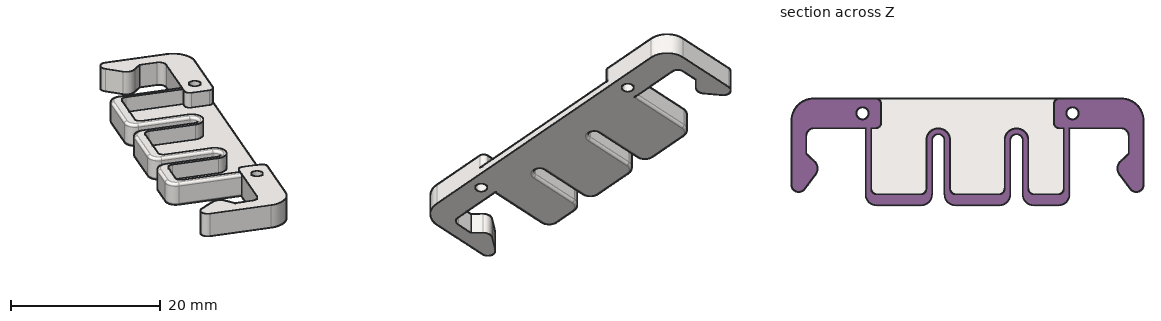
import cadquery as cq
import math

LENGTH = 47.0
DEPTH = 14.3
HEIGHT = 3.4

TRAY_WIDTH = 27.25
FLOOR_THICKNESS = 1.18
WALL = 0.8
FRONT_WALL = 1.5
FINGER_CORNER_RADIUS = 1.5
POCKET_CORNER_RADIUS = 0.75
RIM_FILLET = 0.4

SLOT_WIDTH = 1.6
SLOT_CENTRES_X = (-3.9, 6.55)

ARM_WIDTH = 4.0
ARM_INNER_END_X = 11.5
ARM_END_RADIUS = 0.75
SHOULDER_RADIUS = 3.0
INNER_ELBOW_RADIUS = 1.0
HOOK_THICKNESS = 2.0
HOOK_REACH = 12.5
HOOK_NOSE_START_Y = -7.4
HOOK_NOSE_PROTRUSION = 1.95
HOOK_NOSE_Y = -9.2
HOOK_NOSE_RADIUS = 1.25
HOOK_TIP_RADIUS = 1.0

HOLE_DIAMETER = 1.6
HOLE_CENTRE_X = 14.0

SLOT_END_Y = -(ARM_WIDTH + WALL)


def block(x_min, x_max, y_min, y_max, height):
    """Upright box standing on Z = 0."""
    solid = cq.Workplane("XY").box(x_max - x_min, y_max - y_min, height, centered=False)
    return solid.translate((x_min, y_min, 0))


def slot_tool(centre_x, width, end_y):
    """Full-height slot with a round back end, running out past the front edge."""
    radius = width / 2
    round_centre_y = end_y - radius
    straight = block(centre_x - radius, centre_x + radius, -DEPTH - radius, round_centre_y, HEIGHT)
    round_end = cq.Workplane("XY").center(centre_x, round_centre_y).circle(radius).extrude(HEIGHT)
    return straight.union(round_end)


def make_tray_body():
    """Slotted slab with rounded fingers and rolled top and bottom rims."""
    half_width = TRAY_WIDTH / 2
    body = block(-half_width, half_width, -DEPTH, 0, HEIGHT)
    for centre_x in SLOT_CENTRES_X:
        body = body.cut(slot_tool(centre_x, SLOT_WIDTH, SLOT_END_Y))
    body = body.faces("<Y").edges("|Z").fillet(FINGER_CORNER_RADIUS)
    return body.faces("<Z or >Z").edges("not >Y").fillet(RIM_FILLET)


def make_pocket():
    """Recess above the floor, open at the back and leaving a wall round each slot."""
    half_width = TRAY_WIDTH / 2 - WALL
    pocket = block(-half_width, half_width, -DEPTH + FRONT_WALL, 0, HEIGHT)
    for centre_x in SLOT_CENTRES_X:
        pocket = pocket.cut(slot_tool(centre_x, SLOT_WIDTH + 2 * WALL, SLOT_END_Y + WALL))
    pocket = pocket.faces("<Y").edges("|Z").fillet(POCKET_CORNER_RADIUS)
    return pocket.translate((0, 0, FLOOR_THICKNESS))


def tip_tangent_point(nose_x, nose_y, tip_x, tip_y):
    """Point where the slanted hook face from the nose corner touches the tip circle."""
    distance = math.hypot(nose_x - tip_x, nose_y - tip_y)
    angle = math.atan2(nose_y - tip_y, nose_x - tip_x) - math.acos(HOOK_TIP_RADIUS / distance)
    return (tip_x + HOOK_TIP_RADIUS * math.cos(angle), tip_y + HOOK_TIP_RADIUS * math.sin(angle))


def round_corner(solid, x, y, radius):
    """Round the upright edge that stands at (x, y)."""
    corner = cq.selectors.NearestToPointSelector((x, y, HEIGHT / 2))
    return solid.edges("|Z").edges(corner).fillet(radius)


def make_left_arm():
    """Clip arm at the -X end: bar along the back, then a hook reaching forward."""
    outer_x = -LENGTH / 2
    hook_inner_x = outer_x + HOOK_THICKNESS
    nose_x = hook_inner_x + HOOK_NOSE_PROTRUSION
    tip_x = outer_x + HOOK_TIP_RADIUS
    tip_y = -HOOK_REACH + HOOK_TIP_RADIUS
    tangent_point = tip_tangent_point(nose_x, HOOK_NOSE_Y, tip_x, tip_y)

    arm = (
        cq.Workplane("XY")
        .moveTo(outer_x, 0)
        .lineTo(-ARM_INNER_END_X, 0)
        .lineTo(-ARM_INNER_END_X, -ARM_WIDTH)
        .lineTo(hook_inner_x, -ARM_WIDTH)
        .lineTo(hook_inner_x, HOOK_NOSE_START_Y)
        .lineTo(nose_x, HOOK_NOSE_Y)
        .lineTo(*tangent_point)
        .threePointArc((tip_x, -HOOK_REACH), (outer_x, tip_y))
        .close()
        .extrude(HEIGHT)
    )

    arm = round_corner(arm, outer_x, 0, SHOULDER_RADIUS)
    arm = round_corner(arm, hook_inner_x, -ARM_WIDTH, INNER_ELBOW_RADIUS)
    arm = round_corner(arm, nose_x, HOOK_NOSE_Y, HOOK_NOSE_RADIUS)
    for y in (0, -ARM_WIDTH):
        arm = round_corner(arm, -ARM_INNER_END_X, y, ARM_END_RADIUS)
    return arm


left_arm = make_left_arm()
right_arm = left_arm.mirror("YZ")
pin_holes = (
    cq.Workplane("XY")
    .pushPoints([(-HOLE_CENTRE_X, -ARM_WIDTH / 2), (HOLE_CENTRE_X, -ARM_WIDTH / 2)])
    .circle(HOLE_DIAMETER / 2)
    .extrude(HEIGHT)
)

tray = make_tray_body().cut(make_pocket())
result = tray.union(left_arm).union(right_arm).cut(pin_holes)